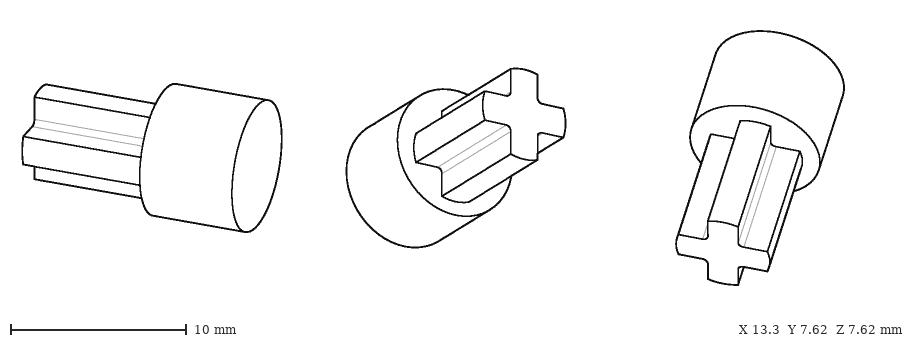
import cadquery as cq

total_length = 13.26
head_diameter = 7.62
head_length = 5.65

shaft_length = total_length - head_length
shaft_diameter = 5.5
arm_width = 1.78
corner_radius = 0.32
shaft_offset_y = -0.03
shaft_offset_z = -0.24


def make_head():
    return cq.Workplane("YZ", origin=(shaft_length, 0, 0)).circle(head_diameter / 2).extrude(head_length)


def make_shaft():
    """Two crossed bars with filleted inner corners, trimmed to a round envelope."""
    plane = cq.Workplane("YZ", origin=(0, shaft_offset_y, shaft_offset_z))
    wide_bar = plane.rect(shaft_diameter, arm_width).extrude(shaft_length)
    tall_bar = plane.rect(arm_width, shaft_diameter).extrude(shaft_length)
    inner_corners = cq.selectors.BoxSelector(
        (0, shaft_offset_y - arm_width, shaft_offset_z - arm_width),
        (shaft_length, shaft_offset_y + arm_width, shaft_offset_z + arm_width),
    )
    cross = wide_bar.union(tall_bar).edges("|X").edges(inner_corners).fillet(corner_radius)
    envelope = plane.circle(shaft_diameter / 2).extrude(shaft_length)
    return cross.intersect(envelope)


result = make_head().union(make_shaft())